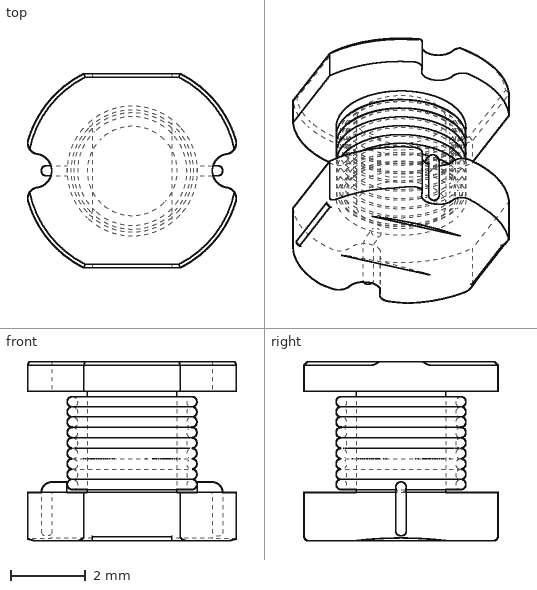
import cadquery as cq
import math

FLANGE_DIAMETER = 5.8
FLANGE_WIDTH = 5.2
BASE_HEIGHT = 1.3
TOP_FLANGE_BOTTOM = 4.0
TOTAL_HEIGHT = 4.8
NECK_DIAMETER = 2.4
TOP_CHAMFER = 0.1

NOTCH_RADIUS = 0.45
NOTCH_OFFSET = 2.6
NOTCH_LIP_FILLET = 0.3

MIDDLE_STRIP_WIDTH = 2.12
STRIP_CHAMFER_HEIGHT = 0.11
STRIP_CHAMFER_INSET = 0.1
PAD_EDGE_RADIUS = 0.13
PAD_ARCH_WIDTH = 2.56
PAD_ARCH_RISE = 0.08

WIRE_RADIUS = 0.14
COIL_RADIUS = 1.6
FIRST_TURN_HEIGHT = 1.512
TOUCHING_PITCH = 2 * WIRE_RADIUS
MERGED_PITCH = 0.27
TURNS_PER_BODY = [2, 1, 1, 1, 1, 3]

LEAD_START = COIL_RADIUS + WIRE_RADIUS
LEAD_HEIGHT = BASE_HEIGHT + WIRE_RADIUS
LEAD_DROP_OFFSET = NOTCH_OFFSET - NOTCH_RADIUS + WIRE_RADIUS
LEAD_BEND_RADIUS = 0.15
LEAD_TIP_HEIGHT = 0.14
LEAD_TIP_FILLET = 0.12

HALF_WIDTH = FLANGE_WIDTH / 2


def flange_blank(bottom, top):
    """Disc with two flats facing -Y and +Y."""
    height = top - bottom
    disc = cq.Workplane().workplane(offset=bottom).circle(FLANGE_DIAMETER / 2).extrude(height)
    flats = cq.Workplane().workplane(offset=bottom).rect(FLANGE_DIAMETER, FLANGE_WIDTH).extrude(height)
    return disc.intersect(flats)


def notched_prism(bottom, top):
    """Flange outline with a round-lipped wire notch at each X end."""
    notches = (
        cq.Workplane()
        .workplane(offset=bottom)
        .pushPoints([(-NOTCH_OFFSET, 0), (NOTCH_OFFSET, 0)])
        .circle(NOTCH_RADIUS)
        .extrude(top - bottom)
    )
    prism = flange_blank(bottom, top).cut(notches)
    near_notches = cq.selectors.BoxSelector(
        (-FLANGE_DIAMETER, -2 * NOTCH_RADIUS, bottom - 1),
        (FLANGE_DIAMETER, 2 * NOTCH_RADIUS, top + 1),
    )
    return prism.edges("|Z").edges(near_notches).fillet(NOTCH_LIP_FILLET)


def top_flange():
    """Notched flange whose upper rim is chamfered, the notches excepted."""
    chamfered = flange_blank(TOP_FLANGE_BOTTOM, TOTAL_HEIGHT).faces(">Z").chamfer(TOP_CHAMFER)
    return chamfered.intersect(notched_prism(TOP_FLANGE_BOTTOM, TOTAL_HEIGHT))


def strip_section():
    """Slab over the middle strip, chamfered along the lower edges of the flats."""
    return (
        cq.Workplane("YZ")
        .moveTo(-HALF_WIDTH, STRIP_CHAMFER_HEIGHT)
        .lineTo(-HALF_WIDTH + STRIP_CHAMFER_INSET, 0)
        .lineTo(HALF_WIDTH - STRIP_CHAMFER_INSET, 0)
        .lineTo(HALF_WIDTH, STRIP_CHAMFER_HEIGHT)
        .lineTo(HALF_WIDTH, BASE_HEIGHT)
        .lineTo(-HALF_WIDTH, BASE_HEIGHT)
        .close()
        .extrude(MIDDLE_STRIP_WIDTH / 2, both=True)
    )


def pad_section(side):
    """Slab over one terminal pad, with rounded edges and a shallow arch underneath."""
    corner_y = HALF_WIDTH - PAD_EDGE_RADIUS
    half_arch = PAD_ARCH_WIDTH / 2
    edge_mid = PAD_EDGE_RADIUS * math.sqrt(0.5)
    return (
        cq.Workplane("YZ", origin=(side * MIDDLE_STRIP_WIDTH / 2, 0, 0))
        .moveTo(-HALF_WIDTH, PAD_EDGE_RADIUS)
        .threePointArc((-corner_y - edge_mid, PAD_EDGE_RADIUS - edge_mid), (-corner_y, 0))
        .lineTo(-half_arch, 0)
        .threePointArc((0, PAD_ARCH_RISE), (half_arch, 0))
        .lineTo(corner_y, 0)
        .threePointArc((corner_y + edge_mid, PAD_EDGE_RADIUS - edge_mid), (HALF_WIDTH, PAD_EDGE_RADIUS))
        .lineTo(HALF_WIDTH, BASE_HEIGHT)
        .lineTo(-HALF_WIDTH, BASE_HEIGHT)
        .close()
        .extrude(side * (FLANGE_DIAMETER - MIDDLE_STRIP_WIDTH) / 2)
    )


def base_flange():
    """Notched lower flange with the shaped underside."""
    underside = strip_section().union(pad_section(-1)).union(pad_section(1))
    return notched_prism(0, BASE_HEIGHT).intersect(underside)


def make_core():
    neck = (
        cq.Workplane()
        .workplane(offset=BASE_HEIGHT)
        .circle(NECK_DIAMETER / 2)
        .extrude(TOP_FLANGE_BOTTOM - BASE_HEIGHT)
    )
    return base_flange().union(neck).union(top_flange())


def make_turn(height):
    """One ring of wire around the neck."""
    return (
        cq.Workplane("XZ")
        .center(COIL_RADIUS, height)
        .circle(WIRE_RADIUS)
        .revolve(360, (-COIL_RADIUS, 0), (-COIL_RADIUS, 1))
    )


def make_winding():
    """Stack of coil bodies, each a single ring or a few merged rings."""
    bodies = []
    height = FIRST_TURN_HEIGHT
    for turns in TURNS_PER_BODY:
        body = make_turn(height)
        for _ in range(turns - 1):
            height += MERGED_PITCH
            body = body.union(make_turn(height))
        bodies.append(body)
        height += TOUCHING_PITCH
    return bodies


def make_lead(side):
    """Wire end that runs out along the base and bends down into its notch."""
    bend_x = LEAD_DROP_OFFSET - LEAD_BEND_RADIUS
    bend_z = LEAD_HEIGHT - LEAD_BEND_RADIUS
    bend_mid = LEAD_BEND_RADIUS * math.sqrt(0.5)
    path = (
        cq.Workplane("XZ")
        .moveTo(side * LEAD_START, LEAD_HEIGHT)
        .lineTo(side * bend_x, LEAD_HEIGHT)
        .threePointArc((side * (bend_x + bend_mid), bend_z + bend_mid), (side * LEAD_DROP_OFFSET, bend_z))
        .lineTo(side * LEAD_DROP_OFFSET, LEAD_TIP_HEIGHT)
    )
    lead = (
        cq.Workplane("YZ", origin=(side * LEAD_START, 0, LEAD_HEIGHT))
        .circle(WIRE_RADIUS)
        .sweep(path)
    )
    return lead.faces("<Z").edges().fillet(LEAD_TIP_FILLET)


core = make_core()
winding = make_winding()
leads = [make_lead(side) for side in (-1, 1)]

result = cq.Compound.makeCompound(
    [core.val()] + [body.val() for body in winding] + [lead.val() for lead in leads]
)